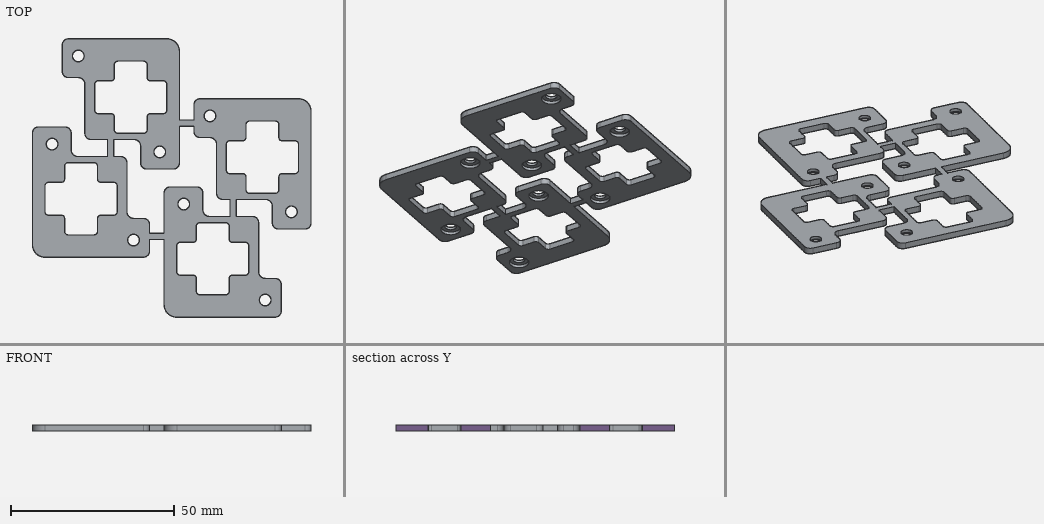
import cadquery as cq

panel_length = 85.5
panel_width = 85.4
thickness = 2.0

plate_length = 36.0
plate_width = 40.0
tab_width = 12.0
step_x = 29.1
step_y = 30.95

main_radius = 3.9
corner_radius = 2.0

cross_span = 22.1
cross_arm = 10.0
cross_radius = 1.0
cross_center = (15.0, 17.95)

hole_diameter = 3.5
counterbore_diameter = 6.0
counterbore_depth = 1.0
upper_hole = (6.1, plate_width - 5.3)
lower_hole = (31.0, 5.3)

pitch_x = 40.35
pitch_y = 18.4

bridge_width = 2.0
lower_bridge_y = 6.4
upper_bridge_drop = 7.5
upright_bridge_x = 24.0
right_upright_bridge_x = 21.2
bridge_overlap = 0.4


def box_between(x_range, y_range):
    """Block of full thickness spanning the given X and Y ranges."""
    length = x_range[1] - x_range[0]
    width = y_range[1] - y_range[0]
    block = cq.Workplane("XY").box(length, width, thickness, centered=False)
    return block.translate((x_range[0], y_range[0], 0))


def round_corner(body, point, radius):
    """Round the upright edge that passes through the given point."""
    edge = cq.selectors.NearestToPointSelector((*point, thickness / 2))
    return body.edges("|Z").edges(edge).fillet(radius)


def make_cross():
    """Cross-shaped cutter centred on its own origin."""
    cross = cq.Workplane("XY").rect(cross_span, cross_arm).extrude(thickness)
    cross = cross.union(cq.Workplane("XY").rect(cross_arm, cross_span).extrude(thickness))
    return cross.edges("|Z").fillet(cross_radius)


def make_plate():
    """Plate with two screw tabs, a cross window and two counterbored holes."""
    corners = [
        ((0, 0), main_radius),
        ((plate_length, 0), corner_radius),
        ((plate_length, tab_width), corner_radius),
        ((step_x, tab_width), corner_radius),
        ((step_x, step_y), corner_radius),
        ((tab_width, step_y), corner_radius),
        ((tab_width, plate_width), corner_radius),
        ((0, plate_width), corner_radius),
    ]
    plate = cq.Workplane("XY").polyline([point for point, _ in corners]).close().extrude(thickness)
    for point, radius in corners:
        plate = round_corner(plate, point, radius)
    plate = plate.cut(make_cross().translate((*cross_center, 0)))
    hole_points = cq.Workplane("XY").pushPoints([upper_hole, lower_hole])
    holes = hole_points.circle(hole_diameter / 2).extrude(thickness)
    counterbores = hole_points.circle(counterbore_diameter / 2).extrude(counterbore_depth)
    return plate.cut(holes).cut(counterbores)


def half_turn(body):
    """The body turned by 180 degrees about the panel centre."""
    return body.rotate((0, 0, 0), (0, 0, 1), 180)


left_x = -panel_length / 2
right_x = left_x + pitch_x
right_y = -panel_width / 2
left_y = right_y + pitch_y

plate = make_plate()
lower_pair = plate.translate((left_x, left_y, 0)).union(plate.translate((right_x, right_y, 0)))

result = lower_pair.union(half_turn(lower_pair))

sideways_bridges = [
    (left_x + plate_length, right_x, left_y + lower_bridge_y),
    (-right_x, -left_x - plate_length, -left_y - upper_bridge_drop),
]
for start_x, end_x, center_y in sideways_bridges:
    sideways_bridge = box_between(
        (start_x - bridge_overlap, end_x + bridge_overlap),
        (center_y - bridge_width / 2, center_y + bridge_width / 2),
    )
    result = result.union(sideways_bridge)

upright_bridges = [
    (left_x + upright_bridge_x, left_y + step_y, -right_y - step_y),
    (right_x + right_upright_bridge_x, right_y + step_y, -left_y - step_y),
]
for center_x, bottom_y, top_y in upright_bridges:
    upright_bridge = box_between(
        (center_x - bridge_width / 2, center_x + bridge_width / 2),
        (bottom_y - bridge_overlap, top_y + bridge_overlap),
    )
    result = result.union(upright_bridge)